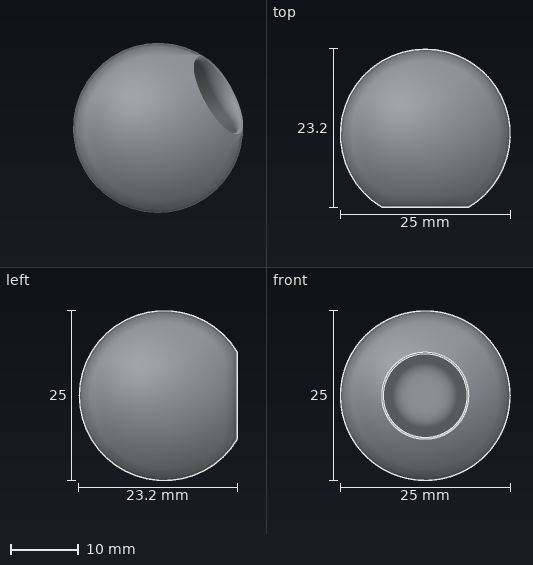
import math

import cadquery as cq

ball_diameter = 25.0
bore_diameter = 12.3
mouth_chamfer = 0.25

ball_radius = ball_diameter / 2
bore_radius = bore_diameter / 2
mouth_radius = bore_radius + mouth_chamfer

mouth_y = -math.sqrt(ball_radius**2 - mouth_radius**2)
floor_y = 0.0

half_section = (
    cq.Workplane("XY")
    .moveTo(0, floor_y)
    .lineTo(bore_radius, floor_y)
    .lineTo(bore_radius, mouth_y + mouth_chamfer)
    .lineTo(mouth_radius, mouth_y)
    .threePointArc((ball_radius, 0), (0, ball_radius))
    .close()
)

result = half_section.revolve(360, (0, 0, 0), (0, 1, 0))